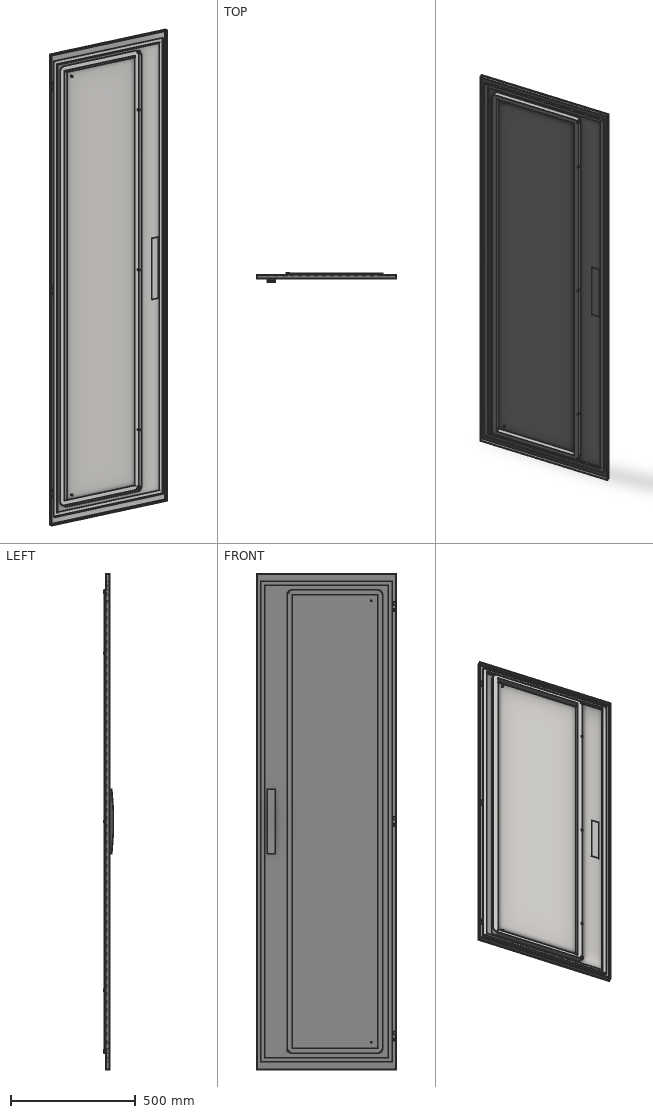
import cadquery as cq
DOOR_WIDTH = 560.0
DOOR_HEIGHT = 1984.0
SHEET = 2.0
DOOR_DEPTH = 15.0
MID_X = DOOR_WIDTH / 2

SEAL_SIDE_INSET = 16.9
SEAL_END_INSET = 32.0
SEAL_WIDTH = 14.9
SEAL_DEPTH = 10.0

FRAME_LEFT = 123.0
FRAME_RIGHT = 504.0
FRAME_HEIGHT = 1853.0
FRAME_BAR = 20.0
FRAME_CORNER_RADIUS = 20.0
FRAME_BACK = 22.0
FRAME_MID_X = (FRAME_LEFT + FRAME_RIGHT) / 2

STUD_FRONT = 15.0
STUD_BACK = 24.0
STUD_X = 125.0
END_STUD_DIAMETER = 11.0
END_STUD_Z = 919.0
SMALL_STUD_DIAMETER = 7.0
SMALL_STUD_PITCH = 675.0

PIN_DIAMETER = 5.0
PIN_LENGTH = 8.0
PIN_X = 458.0
PIN_Z = 883.0

HINGE_X = 552.0
HINGE_PITCH = 860.0
HINGE_HOLE_SPACING = 25.0
UPPER_HOLE_DIAMETER = 11.0
LOWER_HOLE_DIAMETER = 9.0

HANDLE_X = 60.0
HANDLE_WIDTH = 32.0
HANDLE_LENGTH = 258.0
HANDLE_END_DEPTH = 9.0
HANDLE_DEPTH = 15.0


def block(mid_x, width, height, y_front, y_back):
    """Box centred on mid_x and on Z = 0, reaching from y_front to y_back."""
    mid_y = (y_front + y_back) / 2
    return cq.Workplane("XY").box(width, y_back - y_front, height).translate((mid_x, mid_y, 0))


def ring(mid_x, width, height, bar, y_front, y_back, corner_radius=0):
    """Rectangular ring with bars of equal width; a corner radius rounds the outer corners."""
    outside = block(mid_x, width, height, y_front, y_back)
    if corner_radius > 0:
        outside = outside.edges("|Y").fillet(corner_radius)
    return outside.cut(block(mid_x, width - 2 * bar, height - 2 * bar, y_front, y_back))


def rod(x, z, diameter, y_front, y_back):
    """Cylinder along Y."""
    rod_plane = cq.Workplane("XZ", origin=(x, y_front, z))
    return rod_plane.circle(diameter / 2).extrude(y_front - y_back)


def make_door():
    """Panel with its seal, frame, studs, pins and hinge holes."""
    door = block(MID_X, DOOR_WIDTH, DOOR_HEIGHT, 0, DOOR_DEPTH)
    door = door.cut(block(MID_X, DOOR_WIDTH - 2 * SHEET, DOOR_HEIGHT - 2 * SHEET, SHEET, DOOR_DEPTH))

    seal_width = DOOR_WIDTH - 2 * SEAL_SIDE_INSET
    seal_height = DOOR_HEIGHT - 2 * SEAL_END_INSET
    door = door.union(ring(MID_X, seal_width, seal_height, SEAL_WIDTH, SHEET, SHEET + SEAL_DEPTH))

    frame_width = FRAME_RIGHT - FRAME_LEFT
    door = door.union(
        ring(FRAME_MID_X, frame_width, FRAME_HEIGHT, FRAME_BAR, SHEET, FRAME_BACK, FRAME_CORNER_RADIUS)
    )

    for z in (-END_STUD_Z, END_STUD_Z):
        door = door.union(rod(STUD_X, z, END_STUD_DIAMETER, STUD_FRONT, STUD_BACK))
    for step in (-1, 0, 1):
        door = door.union(rod(STUD_X, step * SMALL_STUD_PITCH, SMALL_STUD_DIAMETER, STUD_FRONT, STUD_BACK))
    for z in (-PIN_Z, PIN_Z):
        door = door.union(rod(PIN_X, z, PIN_DIAMETER, SHEET, SHEET + PIN_LENGTH))

    for step in (-1, 0, 1):
        upper_z = step * HINGE_PITCH + HINGE_HOLE_SPACING / 2
        lower_z = step * HINGE_PITCH - HINGE_HOLE_SPACING / 2
        door = door.cut(rod(HINGE_X, upper_z, UPPER_HOLE_DIAMETER, 0, SHEET))
        door = door.cut(rod(HINGE_X, lower_z, LOWER_HOLE_DIAMETER, 0, SHEET))
    return door


def make_handle():
    """Bar on the outer face whose grip bulges towards the middle of its length."""
    half_length = HANDLE_LENGTH / 2
    profile = (
        cq.Workplane("YZ", origin=(HANDLE_X - HANDLE_WIDTH / 2, 0, 0))
        .moveTo(0, -half_length)
        .lineTo(-HANDLE_END_DEPTH, -half_length)
        .threePointArc((-HANDLE_DEPTH, 0), (-HANDLE_END_DEPTH, half_length))
        .lineTo(0, half_length)
        .close()
    )
    return profile.extrude(HANDLE_WIDTH)


door = make_door()
handle = make_handle()

result = cq.Compound.makeCompound([door.val(), handle.val()])